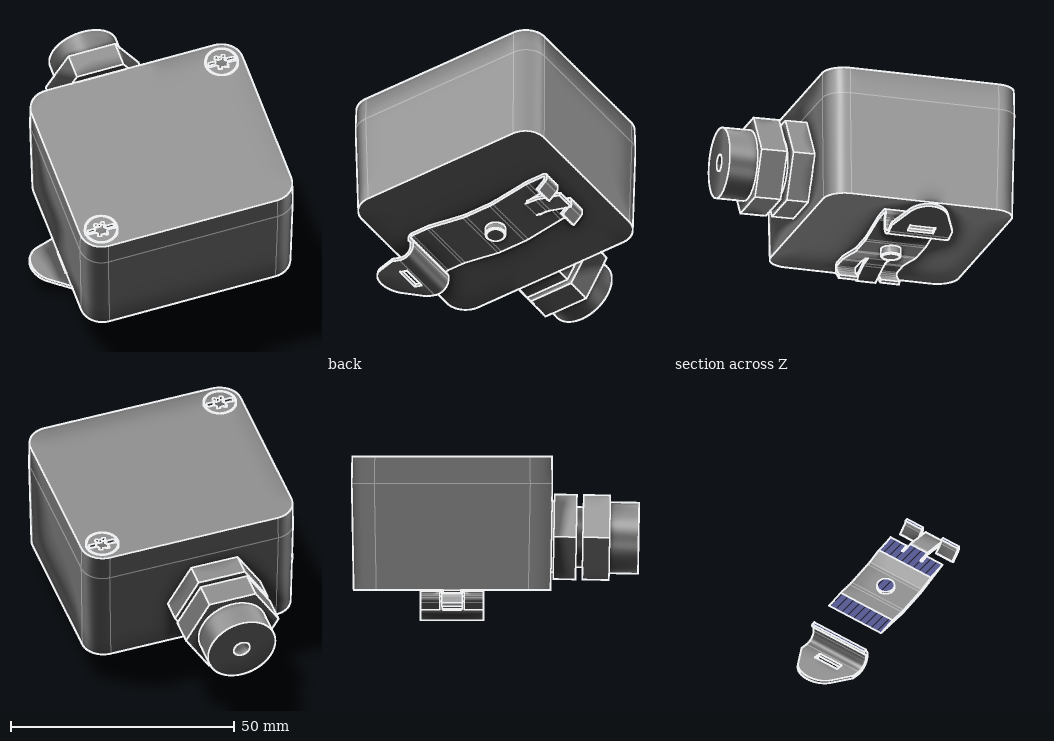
import cadquery as cq
import math


box_length = 45.0
box_width = 50.0
body_height = 24.0
lid_height = 6.0
draft_angle = 1.0
corner_radius = 5.0
box_top = body_height + lid_height

screw_spacing_x = 35.0
screw_spacing_y = 39.95
screw_recess_diameter = 7.5
screw_head_diameter = 7.0
screw_gap_depth = 0.65
drive_depth = 1.0
drive_slot_length = 6.1
drive_slot_width = 1.15
drive_slot_rounding = 0.25
drive_core_diameter = 2.85
drive_lobe_count = 6
drive_lobe_diameter = 0.85
drive_lobe_reach = 1.6

gland_offset_y = -4.7
gland_diameter = 16.0
gland_neck_diameter = 13.55
hex_across_flats = 19.0
collar_length = 0.5
lock_nut_length = 5.0
neck_length = 1.5
cap_nut_length = 6.0
sleeve_length = 6.5
cable_hole_diameter = 3.8
gland_root_depth = 1.3

clip_width = 14.2
clip_thickness = 0.8
clip_gap = 0.1
clip_crest = -clip_gap - clip_thickness / 2
clip_valley = -2.1
valley_half_length = 3.6
crest_start = 13.3
crest_bend = 5.15
hook_bend = 0.9
hook_neck_z = -2.4
hook_neck_bend = 1.0

lip_overhang = 5.9
lip_angle = 17.8
lip_bend = 2.45
lip_bottom = -6.8
lip_root = 17.85
lip_tip_radius = 5.0
lip_side_angle = 26.0
lip_slot_length = 6.0
lip_slot_width = 2.0
lip_slot_distance = 22.75

tongue_width = 4.65
tongue_clearance = 0.4
fork_root = 10.3
tongue_bend = 5.15
tongue_bend_y = 12.9
tongue_bend_z = -1.4
tongue_end_y = 18.95
tongue_end_z = -3.2
curl_y = 18.3
curl_bend = 1.0
curl_crest_bend = 0.65
curl_bend_z = -2.05
curl_end_y = 16.1
curl_end_z = -4.05

stud_diameter = 4.0
stud_head_diameter = 4.5
stud_length = 4.45
stud_chamfer = 0.25


def make_drafted_block(height):
    """Rounded block on the seam plane, narrowing away from it."""
    block = (
        cq.Workplane("XY")
        .rect(box_length, box_width)
        .extrude(height, taper=draft_angle)
    )
    return block.edges("not(#Z or |X or |Y)").fillet(corner_radius)


def make_enclosure():
    lid = make_drafted_block(lid_height)
    body = make_drafted_block(body_height).mirror("XY")
    return body.union(lid, clean=False).translate((0, 0, body_height))


def make_screw_cutter():
    """Ring gap around a screw head plus its slotted six-lobe drive, cut down from Z = 0."""
    gap = (
        cq.Workplane("XY")
        .circle(screw_recess_diameter / 2)
        .circle(screw_head_diameter / 2)
        .extrude(-screw_gap_depth)
    )
    core = cq.Workplane("XY").circle(drive_core_diameter / 2).extrude(-drive_depth)
    lobes = (
        cq.Workplane("XY")
        .polarArray(drive_lobe_reach, 180 / drive_lobe_count, 360, drive_lobe_count)
        .circle(drive_lobe_diameter / 2)
        .extrude(-drive_depth)
    )
    slot = (
        cq.Workplane("XY")
        .rect(drive_slot_width, drive_slot_length)
        .extrude(-drive_depth)
        .edges("|Z")
        .fillet(drive_slot_rounding)
    )
    return gap.union(core).union(lobes).union(slot)


def make_gland():
    """Gland standing square on the drafted -X wall, at mid height of the body."""
    draft = math.radians(draft_angle)
    axis_height = body_height / 2
    wall_x = -box_length / 2 + (body_height - axis_height) * math.tan(draft)
    wall = cq.Plane(
        origin=(wall_x, gland_offset_y, axis_height),
        xDir=(0, -1, 0),
        normal=(-math.cos(draft), 0, -math.sin(draft)),
    )
    hex_across_corners = hex_across_flats / math.cos(math.pi / 6)
    sections = [
        (gland_diameter, collar_length, False),
        (hex_across_corners, lock_nut_length, True),
        (gland_neck_diameter, neck_length, False),
        (hex_across_corners, cap_nut_length, True),
        (gland_diameter, sleeve_length, False),
    ]
    gland = cq.Workplane(wall).circle(gland_diameter / 2).extrude(-gland_root_depth)
    reach = 0
    for diameter, length, is_hexagon in sections:
        base = cq.Workplane(wall).workplane(offset=reach)
        outline = base.polygon(6, diameter) if is_hexagon else base.circle(diameter / 2)
        gland = gland.union(outline.extrude(length))
        reach += length
    cable_hole = cq.Workplane(wall).circle(cable_hole_diameter / 2).extrude(reach)
    return gland.cut(cable_hole)


def make_strip(corners, width):
    """Sweep the strip section along lines through (Y, Z, bend radius) corners, rounding each bend."""
    points = [cq.Vector(0, y, z) for y, z, _ in corners]
    edges = []
    start = points[0]
    bend_radii = [radius for _, _, radius in corners[1:-1]]
    for before, corner, after, radius in zip(points, points[1:], points[2:], bend_radii):
        incoming = (corner - before).normalized()
        outgoing = (after - corner).normalized()
        setback = radius * math.tan(incoming.getAngle(outgoing) / 2)
        bend_start = corner - incoming * setback
        bend_end = corner + outgoing * setback
        edges.append(cq.Edge.makeLine(start, bend_start))
        edges.append(cq.Edge.makeTangentArc(bend_start, incoming, bend_end))
        start = bend_end
    edges.append(cq.Edge.makeLine(start, points[-1]))
    path = cq.Workplane(cq.Wire.assembleEdges(edges))
    section_plane = cq.Plane(origin=points[0], xDir=(1, 0, 0), normal=points[1] - points[0])
    return cq.Workplane(section_plane).rect(width, clip_thickness).sweep(path)


def make_lip_trim(tip_y, tip_z):
    """Two corners to cut off the lip, square to its surface, leaving tapered sides and a round tip."""
    half_width = clip_width / 2
    side = math.radians(lip_side_angle)
    slope = math.radians(lip_angle)
    round_x = lip_tip_radius * math.cos(side)
    round_y = lip_tip_radius * (1 - math.sin(side))
    shoulder_y = round_y + (half_width - round_x) / math.tan(side)
    mid_angle = (math.pi / 2 + side) / 2
    mid_x = lip_tip_radius * math.cos(mid_angle)
    mid_y = lip_tip_radius * (1 - math.sin(mid_angle))
    lip_plane = cq.Plane(
        origin=(0, tip_y, tip_z),
        xDir=(1, 0, 0),
        normal=(0, math.sin(slope), math.cos(slope)),
    )
    corner = (
        cq.Workplane(lip_plane)
        .moveTo(half_width, shoulder_y)
        .lineTo(round_x, round_y)
        .threePointArc((mid_x, mid_y), (0, 0))
        .lineTo(half_width, 0)
        .close()
        .extrude(clip_thickness, both=True)
    )
    return corner.union(corner.mirror("YZ"))


def make_clip():
    slope = math.radians(lip_angle)
    half_turn = math.radians(90 + lip_angle) / 2
    lip_corner_z = lip_bottom + clip_thickness / 2 - lip_bend * (math.tan(half_turn) - 1)
    tip_distance = box_width / 2 + lip_overhang - clip_thickness / 2 * math.sin(slope)
    hook_corner = lip_root + clip_crest - hook_neck_z

    def lip_z(distance):
        return lip_corner_z + (distance - lip_root) * math.tan(slope)

    strip = make_strip(
        [
            (curl_end_y, curl_end_z, 0),
            (curl_y, curl_bend_z, curl_bend),
            (curl_y, clip_crest, curl_crest_bend),
            (crest_start, clip_crest, crest_bend),
            (valley_half_length, clip_valley, crest_bend),
            (-valley_half_length, clip_valley, crest_bend),
            (-crest_start, clip_crest, crest_bend),
            (-hook_corner, clip_crest, hook_bend),
            (-lip_root, hook_neck_z, hook_neck_bend),
            (-lip_root, lip_corner_z, lip_bend),
            (-tip_distance, lip_z(tip_distance), 0),
        ],
        clip_width,
    )
    strip = strip.cut(make_lip_trim(-tip_distance, lip_z(tip_distance)))

    lip_slot = (
        cq.Workplane("XY")
        .box(lip_slot_length, lip_slot_width, 3 * clip_thickness)
        .rotate((0, 0, 0), (1, 0, 0), -lip_angle)
        .translate((0, -lip_slot_distance, lip_z(lip_slot_distance)))
    )
    fork_opening = (
        cq.Workplane("XY")
        .rect(tongue_width + 2 * tongue_clearance, box_width)
        .extrude(lip_bottom)
        .translate((0, fork_root + box_width / 2, 0))
    )
    strip_slope = (clip_crest - clip_valley) / (crest_start - valley_half_length)
    tongue_root_y = fork_root - clip_thickness
    tongue_root_z = clip_valley + (tongue_root_y - valley_half_length) * strip_slope
    tongue = make_strip(
        [
            (tongue_end_y, tongue_end_z, 0),
            (tongue_bend_y, tongue_bend_z, tongue_bend),
            (tongue_root_y, tongue_root_z, 0),
        ],
        tongue_width,
    )
    return strip.cut(lip_slot).cut(fork_opening).union(tongue)


def make_stud():
    shank = cq.Workplane("XY").circle(stud_diameter / 2).extrude(clip_valley)
    head = (
        cq.Workplane("XY")
        .workplane(offset=clip_valley)
        .circle(stud_head_diameter / 2)
        .extrude(-stud_length - clip_valley)
        .faces("<Z")
        .chamfer(stud_chamfer)
    )
    return shank.union(head)


enclosure = make_enclosure()
for side in (-1, 1):
    screw_position = (side * screw_spacing_x / 2, -side * screw_spacing_y / 2, box_top)
    enclosure = enclosure.cut(make_screw_cutter().translate(screw_position), clean=False)

result = (
    enclosure
    .union(make_gland(), clean=False)
    .union(make_stud(), clean=False)
    .union(make_clip(), clean=False)
)